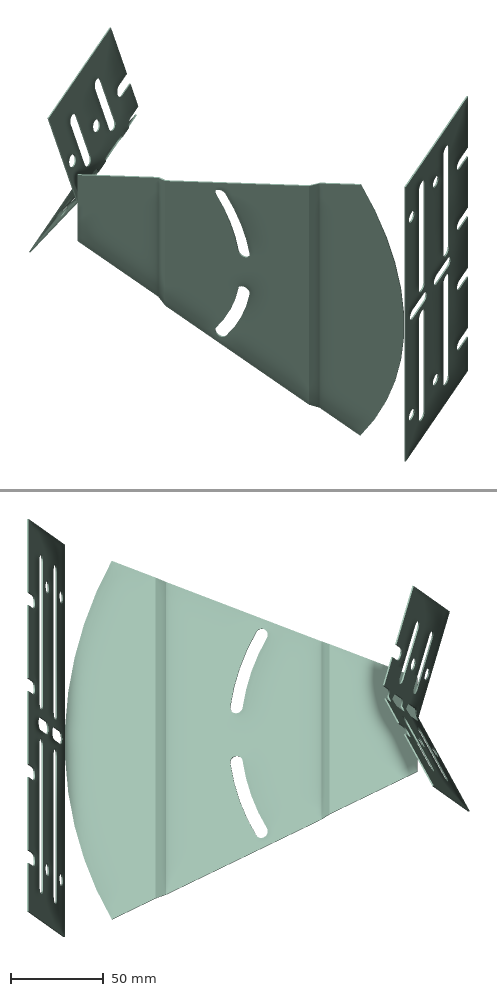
import cadquery as cq
import math


SHEET = 0.8
TOTAL_HEIGHT = 78.3
SIDE_HEIGHT = 75.0
HOLE_DIA = 7.0
CUTTER_DEPTH = 9.0

NOTCH_DEPTH = 13.3
LONG_SLOT_HEIGHTS = (19.5, 48.9)
ROUND_HOLE_HEIGHTS = (7.2, 36.2)
CROSS_SLOT_HEIGHTS = (15.4, 44.0)
CROSS_SLOT_LENGTH = 20.4

OUTER_FACE_X = 196.8
OUTER_LENGTH = 215.0
OUTER_SLOT_LENGTH = 85.0
OUTER_SLOT_OFFSET = 50.5
OUTER_HOLE_OFFSET = 77.4
OUTER_NOTCH_COUNT = 4
OUTER_NOTCH_PITCH = 47.0

BEND_Z = 2.7
WING_LENGTH = 60.2
UPPER_WING_TILT = 17.0
LOWER_WING_TILT = 28.5
WING_SLOT_LENGTH = 35.5
WING_SLOT_OFFSET = 27.5
WING_HOLE_OFFSET = 23.5

WEB_Z = -1.0
FAN_CENTRE_X = -1.5
NARROW_HALF = 25.8
WIDE_HALF = 98.2
TRAY_DEPTH = TOTAL_HEIGHT - SIDE_HEIGHT - SHEET
TRAY_START_X = 48.6
TRAY_END_X = 145.5
RAMP_LENGTH = 5.2
ARC_SLOT_RADIUS = 103.8
ARC_SLOT_NEAR_ANGLE = 8.4
ARC_SLOT_FAR_ANGLE = 31.2


def slot_cutter(height, along, length, angle=0):
    """Slot through a flat plate lying in the YZ plane; angle 0 runs it along Y, 90 along Z."""
    return (
        cq.Workplane("YZ")
        .center(height, along)
        .slot2D(length, HOLE_DIA, angle)
        .extrude(CUTTER_DEPTH, both=True)
    )


def hole_cutter(height, along):
    """Round hole through a flat plate lying in the YZ plane."""
    return (
        cq.Workplane("YZ")
        .center(height, along)
        .circle(HOLE_DIA / 2)
        .extrude(CUTTER_DEPTH, both=True)
    )


def notch_cutter(along):
    """Round-ended slot that opens through the free edge of a side plate."""
    return slot_cutter(SIDE_HEIGHT, along, 2 * NOTCH_DEPTH)


def cross_slot_cutters():
    """Short slots along Y, on the line Z = 0 of the plate."""
    return [slot_cutter(height, 0, CROSS_SLOT_LENGTH) for height in CROSS_SLOT_HEIGHTS]


def cut_all(body, cutters):
    for cutter in cutters:
        body = body.cut(cutter)
    return body


def make_outer_plate():
    """Flat side plate along the wide end of the web."""
    plate = cq.Workplane("XY").box(SHEET, SIDE_HEIGHT, OUTER_LENGTH, centered=(True, False, True))
    cutters = cross_slot_cutters()
    for side in (-1, 1):
        for height in LONG_SLOT_HEIGHTS:
            cutters.append(slot_cutter(height, side * OUTER_SLOT_OFFSET, OUTER_SLOT_LENGTH, 90))
        for height in ROUND_HOLE_HEIGHTS:
            cutters.append(hole_cutter(height, side * OUTER_HOLE_OFFSET))
    for index in range(OUTER_NOTCH_COUNT):
        cutters.append(notch_cutter(index * OUTER_NOTCH_PITCH - OUTER_HOLE_OFFSET))
    return cut_all(plate, cutters).translate((OUTER_FACE_X - SHEET / 2, 0, 0))


def wing_cutters(side, tilt):
    """Holes of one wing, made upright and then tilted about the bend edge."""
    cutters = [notch_cutter(side * WING_HOLE_OFFSET)]
    for height in LONG_SLOT_HEIGHTS:
        cutters.append(slot_cutter(height, side * WING_SLOT_OFFSET, WING_SLOT_LENGTH, 90))
    for height in ROUND_HOLE_HEIGHTS:
        cutters.append(hole_cutter(height, side * WING_HOLE_OFFSET))
    return [cutter.rotate((0, 0, 0), (0, 1, 0), -side * tilt) for cutter in cutters]


def make_inner_plate():
    """Side plate bent into two wings that lean away from the web."""
    upper = math.radians(UPPER_WING_TILT)
    lower = math.radians(LOWER_WING_TILT)
    upper_tip = (-WING_LENGTH * math.sin(upper), WING_LENGTH * math.cos(upper))
    lower_tip = (-WING_LENGTH * math.sin(lower), -WING_LENGTH * math.cos(lower))
    upper_back = (upper_tip[0] - SHEET * math.cos(upper), upper_tip[1] - SHEET * math.sin(upper))
    lower_back = (lower_tip[0] - SHEET * math.cos(lower), lower_tip[1] + SHEET * math.sin(lower))
    half_bend = (upper + lower) / 2
    bisector = (upper - lower) / 2
    miter = SHEET / math.cos(half_bend)
    bend_back = (-miter * math.cos(bisector), -miter * math.sin(bisector))
    plate = (
        cq.Workplane("XZ")
        .polyline([(0, 0), upper_tip, upper_back, bend_back, lower_back, lower_tip])
        .close()
        .extrude(-SIDE_HEIGHT)
    )
    cutters = cross_slot_cutters() + [notch_cutter(0)]
    cutters += wing_cutters(1, UPPER_WING_TILT)
    cutters += wing_cutters(-1, LOWER_WING_TILT)
    return cut_all(plate, cutters).translate((0, 0, BEND_Z))


def polar(radius, degrees):
    """Point about the fan centre, as web (X, Z)."""
    angle = math.radians(degrees)
    return (FAN_CENTRE_X + radius * math.cos(angle), radius * math.sin(angle))


def web_outline():
    """Fan: straight narrow end, two straight flanks and an arc that touches the outer plate."""
    arc_tip_x = OUTER_FACE_X - SHEET
    fan_radius = arc_tip_x - FAN_CENTRE_X
    corner_x = FAN_CENTRE_X + math.sqrt(fan_radius**2 - WIDE_HALF**2)
    return (
        cq.Workplane("XZ")
        .moveTo(0, -NARROW_HALF)
        .lineTo(corner_x, -WIDE_HALF)
        .threePointArc((arc_tip_x, 0), (corner_x, WIDE_HALF))
        .lineTo(0, NARROW_HALF)
        .close()
        .extrude(CUTTER_DEPTH, both=True)
    )


def web_sheet():
    """Sheet with a shallow tray across the middle, as wide as the fan."""
    top = [
        (0, 0),
        (TRAY_START_X, 0),
        (TRAY_START_X + RAMP_LENGTH, -TRAY_DEPTH),
        (TRAY_END_X - RAMP_LENGTH, -TRAY_DEPTH),
        (TRAY_END_X, 0),
        (OUTER_FACE_X, 0),
    ]
    bottom = [(x, y - SHEET) for x, y in reversed(top)]
    return cq.Workplane("XY").polyline(top + bottom).close().extrude(WIDE_HALF, both=True)


def arc_slot_cutter():
    """Round-ended slot that follows a circle about the fan centre, on the +Z side."""
    inner = ARC_SLOT_RADIUS - HOLE_DIA / 2
    outer = ARC_SLOT_RADIUS + HOLE_DIA / 2
    middle_angle = (ARC_SLOT_NEAR_ANGLE + ARC_SLOT_FAR_ANGLE) / 2
    end_angle = math.degrees(2 * math.asin(HOLE_DIA / 4 / ARC_SLOT_RADIUS))
    return (
        cq.Workplane("XZ")
        .moveTo(*polar(inner, ARC_SLOT_NEAR_ANGLE))
        .threePointArc(polar(inner, middle_angle), polar(inner, ARC_SLOT_FAR_ANGLE))
        .threePointArc(
            polar(ARC_SLOT_RADIUS, ARC_SLOT_FAR_ANGLE + end_angle),
            polar(outer, ARC_SLOT_FAR_ANGLE),
        )
        .threePointArc(polar(outer, middle_angle), polar(outer, ARC_SLOT_NEAR_ANGLE))
        .threePointArc(
            polar(ARC_SLOT_RADIUS, ARC_SLOT_NEAR_ANGLE - end_angle),
            polar(inner, ARC_SLOT_NEAR_ANGLE),
        )
        .close()
        .extrude(CUTTER_DEPTH, both=True)
    )


def make_web():
    """Fan-shaped floor between the two side plates."""
    slot = arc_slot_cutter()
    web = web_sheet().intersect(web_outline()).cut(slot).cut(slot.mirror("XY"))
    return web.translate((0, 0, WEB_Z))


outer_plate = make_outer_plate()
inner_plate = make_inner_plate()
web = make_web()

result = cq.Compound.makeCompound([outer_plate.val(), inner_plate.val(), web.val()])